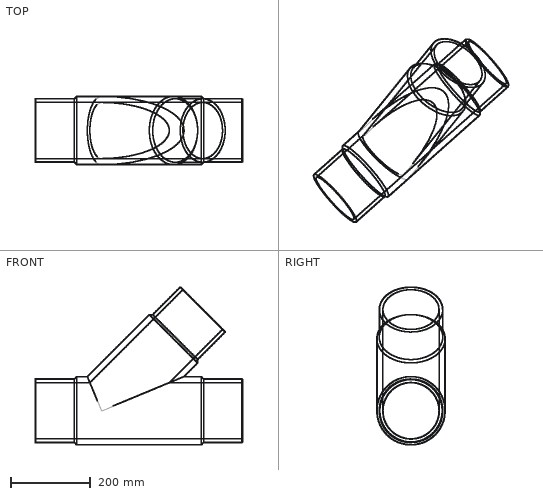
import cadquery as cq
import math

run_length = 521.0
spigot_length = 98.0
spigot_diameter = 160.0
body_diameter = 172.0
bore_diameter = 141.0
end_chamfer = 1.5
shoulder_chamfer = (body_diameter - spigot_diameter) / 2

branch_start_x = 166.0
branch_angle = 45.0
branch_length = 360.0

branch_direction = cq.Vector(
    math.cos(math.radians(branch_angle)), 0, math.sin(math.radians(branch_angle))
)
run_plane = cq.Plane(origin=(0, 0, 0), xDir=(0, 1, 0), normal=(1, 0, 0))
branch_plane = cq.Plane(
    origin=(branch_start_x, 0, 0), xDir=(0, 1, 0), normal=branch_direction
)


def cylinder(plane, diameter, start, end):
    """Cylinder along the plane normal between two distances from its origin."""
    return cq.Workplane(plane).workplane(offset=start).circle(diameter / 2).extrude(end - start)


def make_run():
    """Straight outer pipe: a thick body with a spigot at each end, the +X one chamfered."""
    body = cylinder(run_plane, body_diameter, spigot_length, run_length - spigot_length)
    body = body.faces("<X or >X").chamfer(shoulder_chamfer)
    spigots = cylinder(run_plane, spigot_diameter, 0, run_length).faces(">X").chamfer(end_chamfer)
    return body.union(spigots)


def make_branch():
    """Inclined outer pipe, starting inside the run and ending in a spigot."""
    body = cylinder(branch_plane, body_diameter, 0, branch_length - spigot_length)
    body = body.faces(cq.DirectionMinMaxSelector(branch_direction, True))
    body = body.chamfer(shoulder_chamfer)
    return body.union(cylinder(branch_plane, spigot_diameter, 0, branch_length))


outer = make_run().union(make_branch())
run_bore = cylinder(run_plane, bore_diameter, 0, run_length)
branch_bore = cylinder(branch_plane, bore_diameter, 0, branch_length)
result = outer.cut(run_bore).cut(branch_bore)